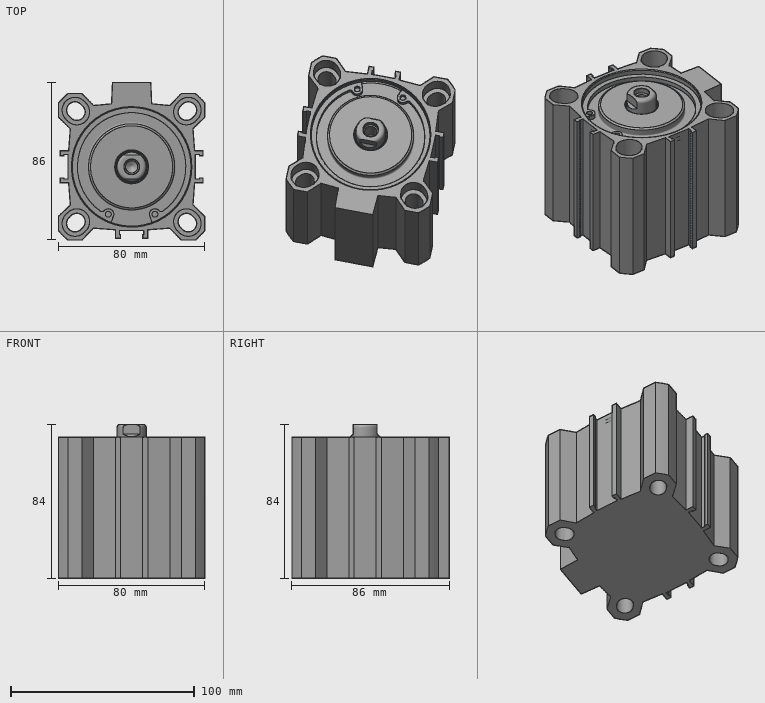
import cadquery as cq
import math

body_height = 77.0
rod_projection = 7.0
pocket_depth = 20.0
ring_top_depth = 3.1
ring_thickness = 2.5

rod_top = body_height + rod_projection
pocket_floor = body_height - pocket_depth
ring_top = body_height - ring_top_depth
ring_bottom = ring_top - ring_thickness

body_half = 40.0
corner_radius = 53.0
post_inner = 27.1
waist_corner = (20.8, 33.5)
wall_at_rail = 34.4
wall_at_port = 34.4
floor_between_rails = 34.75
rail_outer = 8.8
rail_web_inner = 6.6
rail_lip_inner = 6.0
rail_lip_bottom = 36.9
rail_tip = 39.0

port_base_half_width = 11.0
port_tip_half_width = 10.5
port_tip = 46.0

bolt_slot_inner = 29.9
bolt_slot_outer = 30.9
bolt_hole_diameter = 9.0
counterbore_diameter = 14.0
counterbore_depth = 10.5

bore_diameter = 64.7
bore_chamfer = 0.5
groove_diameter = 68.2

ring_inner_diameter = 59.1
lug_radius = 3.0
lug_hole_diameter = 3.2
lug_centre_radius = 28.8
lug_x = 12.7
lug_blend_radius = 1.5

cover_disc_diameter = 47.0
cover_disc_top_depth = 0.8
cover_chamfer_width = 1.1
cover_chamfer_height = 0.75
cover_root_fillet = 0.75
wiper_mouth_diameter = 18.5
wiper_diameter = 17.7
wiper_depth = 1.5
wiper_lip_diameter = 16.54
wiper_lip_depth = 0.5

rod_diameter = 16.0
rod_fillet = 1.8
flats_across = 13.0
flat_clearance = 1.75
flat_bottom = body_height + flat_clearance
rod_mouth_diameter = 8.57
rod_recess_diameter = 8.25
rod_recess_depth = 2.9
rod_hole_diameter = 6.65
rod_hole_depth = 16.0
seat_half_angle = math.radians(50)
drill_half_angle = math.radians(59)


def half_side_points(wall_end):
    """Right half of the +Y side, from the corner post inwards to wall_end."""
    return [(post_inner, body_half), waist_corner, wall_end]


def rail_side_points():
    """Right half of a side with two sensor rails, laid out on the +Y side."""
    return half_side_points((rail_outer, wall_at_rail)) + [
        (rail_outer, rail_tip),
        (rail_lip_inner, rail_tip),
        (rail_lip_inner, rail_lip_bottom),
        (rail_web_inner, rail_lip_bottom),
        (rail_web_inner, floor_between_rails),
    ]


def port_side_points():
    """Right half of the side that carries the port block."""
    return half_side_points((port_base_half_width, wall_at_port)) + [
        (port_tip_half_width, port_tip),
    ]


def turned(point, quarter_turns):
    """The point after counterclockwise quarter turns about the body axis."""
    x, y = point
    for _ in range(quarter_turns):
        x, y = -y, x
    return (x, y)


def body_outline():
    """Closed outline: four sides in turn, joined by an arc on each corner."""
    corner_reach = math.sqrt(corner_radius**2 - body_half**2)
    corner_middle = corner_radius / math.sqrt(2)
    sides = [port_side_points(), rail_side_points(), rail_side_points(), rail_side_points()]
    outline = cq.Workplane("XY").moveTo(corner_reach, body_half)
    for turns, right_half in enumerate(sides):
        left_half = [(-x, y) for x, y in reversed(right_half)]
        for point in right_half + left_half + [(-corner_reach, body_half)]:
            outline = outline.lineTo(*turned(point, turns))
        arc_middle = turned((-corner_middle, corner_middle), turns)
        arc_end = turned((-body_half, corner_reach), turns)
        outline = outline.threePointArc(arc_middle, arc_end)
    return outline.close()


def bolt_slots(diameter, bottom):
    """Four diagonal slots running from the bottom height up through the body top."""
    middle = (bolt_slot_inner + bolt_slot_outer) / 2 * math.sqrt(2)
    length = (bolt_slot_outer - bolt_slot_inner) * math.sqrt(2) + diameter
    return (
        cq.Workplane("XY", origin=(0, 0, bottom))
        .polarArray(middle, 45, 360, 4)
        .slot2D(length, diameter)
        .extrude(body_height - bottom)
    )


def cylinder(diameter, bottom, top):
    """Upright cylinder on the common axis."""
    return cq.Workplane("XY", origin=(0, 0, bottom)).circle(diameter / 2).extrude(top - bottom)


def make_body():
    body = body_outline().extrude(body_height)
    body = body.cut(bolt_slots(bolt_hole_diameter, 0))
    body = body.cut(bolt_slots(counterbore_diameter, body_height - counterbore_depth))
    body = body.cut(cylinder(groove_diameter, ring_bottom, ring_top))
    bore_radius = bore_diameter / 2
    pocket = (
        cq.Workplane("XZ")
        .moveTo(0, pocket_floor)
        .lineTo(bore_radius, pocket_floor)
        .lineTo(bore_radius, body_height - bore_chamfer)
        .lineTo(bore_radius + bore_chamfer, body_height)
        .lineTo(0, body_height)
        .close()
        .revolve(360, (0, 0), (0, 1))
    )
    return body.cut(pocket)


def make_snap_ring():
    """Open retaining ring whose two ends carry plier lugs on the -Y side."""
    lug_y = -math.sqrt(lug_centre_radius**2 - lug_x**2)
    lug_centres = [(-lug_x, lug_y), (lug_x, lug_y)]
    gap_half_angle = math.asin(lug_x / lug_centre_radius) - math.asin(lug_radius / lug_centre_radius)
    gap_reach = groove_diameter
    gap_half_width = gap_reach * math.tan(gap_half_angle)

    level = cq.Workplane("XY", origin=(0, 0, ring_bottom))
    ring = level.circle(groove_diameter / 2).circle(ring_inner_diameter / 2).extrude(ring_thickness)
    gap = (
        level.polyline([(0, 0), (-gap_half_width, -gap_reach), (gap_half_width, -gap_reach)])
        .close()
        .extrude(ring_thickness)
    )
    lugs = level.pushPoints(lug_centres).circle(lug_radius).extrude(ring_thickness)
    ring = ring.cut(gap).union(lugs)

    blend_zone = cq.selectors.BoxSelector(
        (-groove_diameter / 2, lug_y, ring_bottom),
        (groove_diameter / 2, lug_y + lug_radius, ring_top),
    )
    ring = ring.edges("|Z").edges(blend_zone).fillet(lug_blend_radius)
    holes = level.pushPoints(lug_centres).circle(lug_hole_diameter / 2).extrude(ring_thickness)
    return ring.cut(holes)


def make_rod_cover():
    """Turned cover: flange under the snap ring, raised disc, wiper recess round the rod."""
    disc_top = body_height - cover_disc_top_depth
    disc_radius = cover_disc_diameter / 2
    lip_top = disc_top - wiper_depth
    lip_bottom = lip_top - wiper_lip_depth
    mouth_chamfer = (wiper_mouth_diameter - wiper_diameter) / 2
    fillet_sag = cover_root_fillet * (1 - math.sqrt(0.5))
    return (
        cq.Workplane("XZ")
        .moveTo(rod_diameter / 2, pocket_floor)
        .lineTo(bore_diameter / 2, pocket_floor)
        .lineTo(bore_diameter / 2, ring_bottom)
        .lineTo(disc_radius + cover_root_fillet, ring_bottom)
        .threePointArc(
            (disc_radius + fillet_sag, ring_bottom + fillet_sag),
            (disc_radius, ring_bottom + cover_root_fillet),
        )
        .lineTo(disc_radius, disc_top - cover_chamfer_height)
        .lineTo(disc_radius - cover_chamfer_width, disc_top)
        .lineTo(wiper_mouth_diameter / 2, disc_top)
        .lineTo(wiper_diameter / 2, disc_top - mouth_chamfer)
        .lineTo(wiper_diameter / 2, lip_top)
        .lineTo(wiper_lip_diameter / 2, lip_top)
        .lineTo(wiper_lip_diameter / 2, lip_bottom)
        .lineTo(rod_diameter / 2, lip_bottom)
        .close()
        .revolve(360, (0, 0), (0, 1))
    )


def rod_centre_hole():
    """Stepped hole in the rod end: chamfered recess, conical seat, drilled hole with a pointed end."""
    mouth_radius = rod_mouth_diameter / 2
    recess_radius = rod_recess_diameter / 2
    hole_radius = rod_hole_diameter / 2
    recess_floor = rod_top - rod_recess_depth
    seat_bottom = recess_floor - (recess_radius - hole_radius) / math.tan(seat_half_angle)
    hole_bottom = rod_top - rod_hole_depth
    drill_point = hole_bottom - hole_radius / math.tan(drill_half_angle)
    return (
        cq.Workplane("XZ")
        .moveTo(0, rod_top)
        .lineTo(mouth_radius, rod_top)
        .lineTo(recess_radius, rod_top - (mouth_radius - recess_radius))
        .lineTo(recess_radius, recess_floor)
        .lineTo(hole_radius, seat_bottom)
        .lineTo(hole_radius, hole_bottom)
        .lineTo(0, drill_point)
        .close()
        .revolve(360, (0, 0), (0, 1))
    )


def flat_cutter():
    """Prism that cuts the +Y wrench flat, with a 45 degree run-out at its lower end."""
    flat_y = flats_across / 2
    outside = rod_diameter
    return (
        cq.Workplane("YZ", origin=(-rod_diameter / 2, 0, 0))
        .moveTo(flat_y, rod_top)
        .lineTo(flat_y, flat_bottom)
        .lineTo(outside, flat_bottom - (outside - flat_y))
        .lineTo(outside, rod_top)
        .close()
        .extrude(rod_diameter)
    )


def make_rod():
    rod = cylinder(rod_diameter, pocket_floor, rod_top).faces(">Z").edges().fillet(rod_fillet)
    rod = rod.cut(rod_centre_hole())
    for angle in (0, 180):
        rod = rod.cut(flat_cutter().rotate((0, 0, 0), (0, 0, 1), angle))
    return rod


body = make_body()
snap_ring = make_snap_ring()
rod_cover = make_rod_cover()
rod = make_rod()

result = cq.Compound.makeCompound([body.val(), snap_ring.val(), rod_cover.val(), rod.val()])